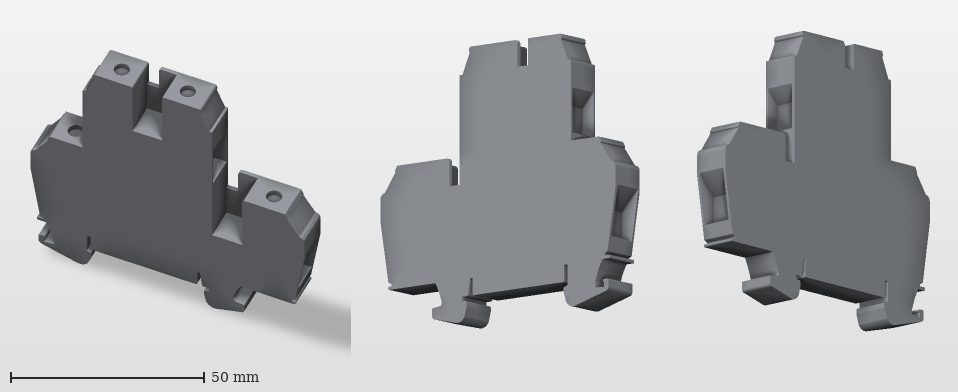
import cadquery as cq


LENGTH = 78.0
THICKNESS = 10.0
HEIGHT = 72.2
SEAT_Z = 6.7
BLOCK_BOTTOM_Z = 11.3
BLOCK_TOP_Z = 43.7
TOWER_LEFT = 14.8
TOWER_RIGHT = 51.7
TOWER_SHOULDER_Z = 65.1

SEAT_LEFT = 17.15
SEAT_RIGHT = 47.4
LEFT_SLOT_X = 16.0
RIGHT_SLOT_X = 48.2
CORNER_RADIUS = 0.4
SLOT_END_RADIUS = 0.4
LEFT_LUG_RADIUS = 0.15
SHOULDER_RADIUS = 0.5

FLANK_TOP_Z = 29.65
FLANK_FOOT_X = 2.65
FLANK_FOOT_Z = 13.25
LUG_TOP_Z = 12.2
LUG_GROOVE_X = 3.7
LEFT_LUG_X = 1.9
RIGHT_LUG_X = 2.6

BACK_WALL = 1.1
UPPER_NOTCH_LEFT = 29.1
UPPER_NOTCH_WIDTH = 8.35
UPPER_NOTCH_FLOOR = 56.1
LOWER_NOTCH_WIDTH = 8.6
LOWER_NOTCH_FLOOR = 27.0
WALL_GAP = 3.35
LOWER_GAP_FLOOR = 36.3
WALL_RADIUS = 0.9
UPPER_LIP_RADIUS = 0.5
LOWER_LIP_RADIUS = 1.0

SCREW_DIAMETER = 4.2
SCREW_DEPTH = 1.6
SCREW_Y = 4.7
BLOCK_SCREW_X = 10.8
TOWER_SCREW_INSET = 9.05

MOUTH_Y = (0.7, 9.2)
FLOOR_Y = (1.25, 7.95)
TOWER_MOUTH_Z = (45.8, 57.7)
TOWER_FLOOR_Z = (46.95, 53.6)
TOWER_FUNNEL_DEPTH = 3.1
BLOCK_MOUTH_Z = (16.9, 30.7)
BLOCK_FLOOR_Z = (18.2, 24.8)
BLOCK_FUNNEL_FLOOR_X = 4.8

TOWER_CENTRE = (TOWER_LEFT + TOWER_RIGHT) / 2
BLOCK_CENTRE = LENGTH / 2


def mirrored(points, centre):
    """Points reflected about x = centre, in reverse order."""
    return [(2 * centre - x, z) for x, z in reversed(points)]


def plate(outline):
    """Closed XZ outline extruded over the full thickness."""
    return outline.close().extrude(-THICKNESS)


def block_flank(lug_x):
    """Left flank of the lower block, from the lug at the bottom to the top shoulder."""
    return [
        (lug_x, BLOCK_BOTTOM_Z),
        (lug_x, LUG_TOP_Z),
        (LUG_GROOVE_X, LUG_TOP_Z),
        (LUG_GROOVE_X, 12.7),
        (FLANK_FOOT_X, FLANK_FOOT_Z),
        (0, FLANK_TOP_Z),
        (0, 35.5),
        (0.15, 36.2),
        (0.8, 36.7),
        (1.5, 37.0),
        (5.0, 42.0),
        (4.75, 42.3),
        (5.5, BLOCK_TOP_Z),
    ]


def lower_block():
    """Wide lower storey, symmetric apart from the length of its two lugs."""
    left = block_flank(LEFT_LUG_X)
    right = mirrored(block_flank(RIGHT_LUG_X), BLOCK_CENTRE)
    return plate(cq.Workplane("XZ").polyline(left + right))


def tower():
    """Narrower upper storey with grooved, slanted shoulders."""
    left = [
        (TOWER_LEFT, BLOCK_BOTTOM_Z),
        (TOWER_LEFT, TOWER_SHOULDER_Z),
        (15.6, TOWER_SHOULDER_Z),
        (15.7, 64.9),
        (18.2, 70.7),
        (17.9, 71.05),
        (18.0, 71.9),
        (18.3, HEIGHT),
    ]
    return plate(cq.Workplane("XZ").polyline(left + mirrored(left, TOWER_CENTRE)))


def left_foot():
    """Foot whose outer end curls up into a hook."""
    outline = (
        cq.Workplane("XZ")
        .moveTo(LEFT_SLOT_X, BLOCK_BOTTOM_Z)
        .lineTo(4.4, BLOCK_BOTTOM_Z)
        .lineTo(5.7, 8.65)
        .lineTo(6.7, 5.6)
        .lineTo(6.7, 4.1)
        .lineTo(3.8, 3.8)
        .lineTo(3.8, 5.15)
        .lineTo(4.1, 5.4)
        .threePointArc((4.05, 5.85), (3.7, 6.0))
        .lineTo(2.7, 6.0)
        .threePointArc((2.4, 5.9), (2.35, 5.6))
        .lineTo(2.35, 3.8)
        .threePointArc((2.6, 3.2), (3.1, 2.8))
        .lineTo(13.3, 0.1)
        .threePointArc((14.05, 0), (16.3, 1.25))
        .lineTo(17.2, 4.05)
        .lineTo(17.2, 5.0)
        .threePointArc((17.15, 5.3), (16.85, 5.45))
        .lineTo(LEFT_SLOT_X, 5.8)
    )
    return plate(outline)


def right_foot():
    """Foot with a slanted relief next to the rail seat."""
    outline = (
        cq.Workplane("XZ")
        .moveTo(RIGHT_SLOT_X, BLOCK_BOTTOM_Z)
        .lineTo(48.8, 7.2)
        .threePointArc((49.0, 6.9), (49.3, SEAT_Z))
        .lineTo(50.85, SEAT_Z)
        .lineTo(50.85, 5.7)
        .lineTo(49.85, 5.45)
        .threePointArc((49.45, 5.3), (49.4, 5.0))
        .lineTo(49.4, 4.05)
        .lineTo(50.1, 1.4)
        .threePointArc((52.4, 0), (53.05, 0.1))
        .lineTo(60.05, 1.9)
        .threePointArc((60.6, 2.1), (60.85, 2.6))
        .lineTo(60.85, 4.75)
        .lineTo(58.4, 5.1)
        .threePointArc((57.9, 5.4), (57.65, 6.2))
        .threePointArc((58.6, 8.8), (59.75, BLOCK_BOTTOM_Z))
    )
    return plate(outline)


def round_corners(solid, corners, radius):
    """Fillet the through-thickness edges standing at the given XZ corners."""
    for x, z in corners:
        edge = cq.selectors.NearestToPointSelector((x, THICKNESS / 2, z))
        solid = solid.edges("|Y").edges(edge).fillet(radius)
    return solid


def rail_seat():
    """Central pad that rests on the rail, between the two feet."""
    corners = [
        (SEAT_LEFT, SEAT_Z),
        (SEAT_RIGHT, SEAT_Z),
        (SEAT_RIGHT, BLOCK_BOTTOM_Z),
        (SEAT_LEFT, BLOCK_BOTTOM_Z),
    ]
    seat = plate(cq.Workplane("XZ").polyline(corners))
    return seat.edges("|Y and <Z").fillet(CORNER_RADIUS)


def notch(left, width, floor, top, gap_floor, lip_radius):
    """Marker notch open at the front, plus the shorter gap through the back wall behind it."""
    wall_y = THICKNESS - BACK_WALL
    pocket = lipped_cut(left, width, 0, wall_y, floor, top, lip_radius)
    gap = lipped_cut(left, WALL_GAP, wall_y, THICKNESS, gap_floor, top, WALL_RADIUS)
    return pocket.union(gap)


def lipped_cut(left, width, y0, y1, floor, top, radius):
    """Rectangular cutter that flares out to round the upper right corner it leaves behind."""
    right = left + width
    return (
        cq.Workplane("XZ", origin=(0, y0, 0))
        .moveTo(left, floor)
        .lineTo(right, floor)
        .lineTo(right, top - radius)
        .radiusArc((right + radius, top), radius)
        .lineTo(left, top)
        .close()
        .extrude(y0 - y1)
    )


def funnel(mouth_x, mouth_z, floor_x, floor_z):
    """Tapered wire entry; mouth_x gives the mouth's X at its lower and upper edge."""

    def rectangle(xs, ys, zs):
        corners = [
            (xs[0], ys[0], zs[0]),
            (xs[0], ys[1], zs[0]),
            (xs[1], ys[1], zs[1]),
            (xs[1], ys[0], zs[1]),
        ]
        return cq.Wire.makePolygon([cq.Vector(*c) for c in corners], close=True)

    mouth = rectangle(mouth_x, MOUTH_Y, mouth_z)
    floor = rectangle((floor_x, floor_x), FLOOR_Y, floor_z)
    return cq.Workplane(cq.Solid.makeLoft([mouth, floor], True))


def flank_x(z):
    """X of the slanted left flank, extended as a plane, at height z."""
    return FLANK_FOOT_X * (FLANK_TOP_Z - z) / (FLANK_TOP_Z - FLANK_FOOT_Z)


def mirrored_solid(solid, centre):
    """Solid reflected about the plane x = centre."""
    return solid.mirror("YZ", (centre, 0, 0))


def screw_hole(x, top):
    """Cutter for a blind screw hole sunk from the top face."""
    return (
        cq.Workplane("XY", origin=(x, SCREW_Y, top))
        .circle(SCREW_DIAMETER / 2)
        .extrude(-SCREW_DEPTH)
    )


body = lower_block().union(tower()).union(rail_seat()).union(left_foot()).union(right_foot())

slot_ends = [(x, BLOCK_BOTTOM_Z) for x in (LEFT_SLOT_X, SEAT_LEFT, RIGHT_SLOT_X)]
body = round_corners(body, slot_ends, SLOT_END_RADIUS)

right_lug_corners = [
    (LENGTH - RIGHT_LUG_X, BLOCK_BOTTOM_Z),
    (LENGTH - RIGHT_LUG_X, LUG_TOP_Z),
]
body = round_corners(body, right_lug_corners, CORNER_RADIUS)
body = round_corners(body, [(LEFT_LUG_X, BLOCK_BOTTOM_Z)], LEFT_LUG_RADIUS)
body = round_corners(body, [(TOWER_LEFT, TOWER_SHOULDER_Z)], SHOULDER_RADIUS)

body = body.cut(notch(UPPER_NOTCH_LEFT, UPPER_NOTCH_WIDTH, UPPER_NOTCH_FLOOR, HEIGHT,
                      TOWER_SHOULDER_Z, UPPER_LIP_RADIUS))
body = round_corners(body, [(UPPER_NOTCH_LEFT, HEIGHT)], UPPER_LIP_RADIUS)
body = body.cut(notch(TOWER_RIGHT, LOWER_NOTCH_WIDTH, LOWER_NOTCH_FLOOR, BLOCK_TOP_Z,
                      LOWER_GAP_FLOOR, LOWER_LIP_RADIUS))

tower_funnel = funnel((TOWER_LEFT, TOWER_LEFT), TOWER_MOUTH_Z,
                      TOWER_LEFT + TOWER_FUNNEL_DEPTH, TOWER_FLOOR_Z)
block_funnel = funnel([flank_x(z) for z in BLOCK_MOUTH_Z], BLOCK_MOUTH_Z,
                      BLOCK_FUNNEL_FLOOR_X, BLOCK_FLOOR_Z)
storeys = [
    (tower_funnel, screw_hole(TOWER_LEFT + TOWER_SCREW_INSET, HEIGHT), TOWER_CENTRE),
    (block_funnel, screw_hole(BLOCK_SCREW_X, BLOCK_TOP_Z), BLOCK_CENTRE),
]
for entry, screw, centre in storeys:
    for cutter in (entry, screw):
        body = body.cut(cutter).cut(mirrored_solid(cutter, centre))

result = body